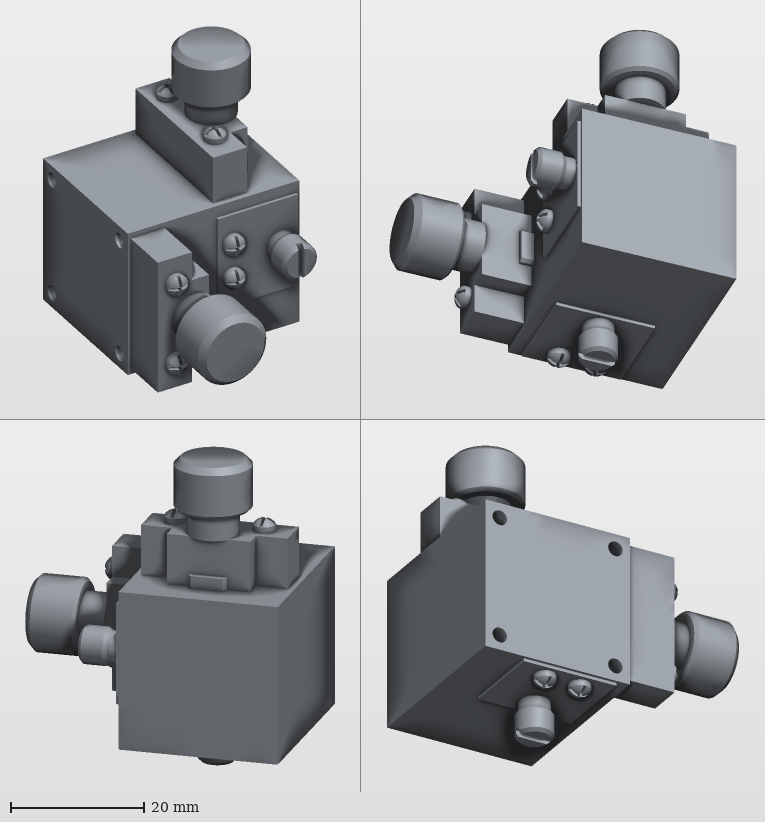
import cadquery as cq
import math


side = 25.0
block_depth = 8.0
carriage_depth = 7.0
dovetail_depth = 3.0
dovetail_root_width = 14.15
dovetail_flank_angle = 30
end_z = side / 2
clamp_face_x = side / 2

inset = 0.5
bracket_width = 23.0
bracket_height = 8.0
neck_width = dovetail_root_width - 2 * inset
bracket_front_y = -carriage_depth + inset
neck_back_y = dovetail_depth - inset
bracket_top_z = end_z + bracket_height

spindle_diameter = 8.0
spindle_length = 4.0
knob_diameter = 12.0
knob_length = 8.0
knob_lower_chamfer = 0.5
knob_upper_chamfer = 1.0

screw_diameter = 3.5
screw_rim_height = 1.0
screw_dome_height = 1.0
screw_slot_width = 0.5
bracket_screw_spacing = 13.95
bracket_screw_y = (bracket_front_y - inset) / 2

plate_width = 16.0
plate_thickness = 0.5
plate_centre_z = 2.5
plate_outer_x = clamp_face_x + plate_thickness
clamp_screw_spacing = 6.0
clamp_screw_y = -4.05

thumb_y = 4.45
thumb_neck_diameter = 5.0
thumb_neck_length = 1.6
thumb_cone_length = 0.65
thumb_head_diameter = 6.0
thumb_length = 6.15
thumb_chamfer = 0.5
thumb_slot_width = 1.0
thumb_slot_depth = 1.0

lug_width = 6.0
lug_height = 2.0
lug_chamfer = 0.5

hole_diameter = 2.5
hole_spacing = 20.0


def box(x_range, y_range, z_range):
    """Block between the given limits on each axis."""
    (x0, x1), (y0, y1), (z0, z1) = x_range, y_range, z_range
    return cq.Workplane("XY").box(x1 - x0, y1 - y0, z1 - z0, centered=False).translate((x0, y0, z0))


def facing_x(shape):
    """Turn a shape that points to +Z so that it points to +X."""
    return shape.rotate((0, 0, 0), (0, 1, 0), 90)


def turned(profile):
    """Turn a closed (radius, height) profile about the Z axis."""
    return profile.close().revolve(360, (0, 0, 0), (0, 1, 0))


def dovetail():
    """Dovetail rail along Z, narrow at y = 0 and wide at its crest."""
    root = dovetail_root_width / 2
    crest = root + dovetail_depth * math.tan(math.radians(dovetail_flank_angle))
    outline = [(-root, 0), (-crest, dovetail_depth), (crest, dovetail_depth), (root, 0)]
    return cq.Workplane("XY").polyline(outline).close().extrude(side).translate((0, 0, -end_z))


def drive_lug():
    """Lug standing on the block's end face behind the bracket neck, with chamfered back edges."""
    half = lug_width / 2
    back_y = dovetail_depth + lug_chamfer
    outline = [
        (-half, neck_back_y),
        (half, neck_back_y),
        (half, dovetail_depth),
        (half - lug_chamfer, back_y),
        (lug_chamfer - half, back_y),
        (-half, dovetail_depth),
    ]
    return cq.Workplane("XY").polyline(outline).close().extrude(lug_height).translate((0, 0, end_z))


def cross_screw():
    """Domed screw head standing on z = 0, with crossed slots as deep as the dome."""
    radius = screw_diameter / 2
    height = screw_rim_height + screw_dome_height
    sphere_radius = (radius**2 + screw_dome_height**2) / (2 * screw_dome_height)
    half_angle = math.asin(radius / sphere_radius) / 2
    arc_middle = (
        sphere_radius * math.sin(half_angle),
        height - sphere_radius * (1 - math.cos(half_angle)),
    )
    profile = (
        cq.Workplane("XZ")
        .lineTo(radius, 0)
        .lineTo(radius, screw_rim_height)
        .threePointArc(arc_middle, (0, height))
    )
    head = turned(profile)
    across = (-radius, radius)
    slot = (-screw_slot_width / 2, screw_slot_width / 2)
    dome = (screw_rim_height, height)
    return head.cut(box(across, slot, dome)).cut(box(slot, across, dome))


def knob():
    """Spindle and chamfered knob standing on z = 0."""
    radius = knob_diameter / 2
    top = spindle_length + knob_length
    profile = (
        cq.Workplane("XZ")
        .lineTo(spindle_diameter / 2, 0)
        .lineTo(spindle_diameter / 2, spindle_length)
        .lineTo(radius - knob_lower_chamfer, spindle_length)
        .lineTo(radius, spindle_length + knob_lower_chamfer)
        .lineTo(radius, top - knob_upper_chamfer)
        .lineTo(radius - knob_upper_chamfer, top)
        .lineTo(0, top)
    )
    return turned(profile)


def thumbscrew():
    """Necked thumbscrew standing on z = 0, slotted along X across its end."""
    neck_radius = thumb_neck_diameter / 2
    radius = thumb_head_diameter / 2
    profile = (
        cq.Workplane("XZ")
        .lineTo(neck_radius, 0)
        .lineTo(neck_radius, thumb_neck_length)
        .lineTo(radius, thumb_neck_length + thumb_cone_length)
        .lineTo(radius, thumb_length - thumb_chamfer)
        .lineTo(radius - thumb_chamfer, thumb_length)
        .lineTo(0, thumb_length)
    )
    slot = box(
        (-radius, radius),
        (-thumb_slot_width / 2, thumb_slot_width / 2),
        (thumb_length - thumb_slot_depth, thumb_length),
    )
    return turned(profile).cut(slot)


def knob_bracket():
    """T-shaped bracket on the carriage end, with its two screws and the knob."""
    z_range = (end_z, bracket_top_z)
    bracket = box((-bracket_width / 2, bracket_width / 2), (bracket_front_y, -inset), z_range)
    bracket = bracket.union(box((-neck_width / 2, neck_width / 2), (-inset, neck_back_y), z_range))
    for x in (-bracket_screw_spacing / 2, bracket_screw_spacing / 2):
        bracket = bracket.union(cross_screw().translate((x, bracket_screw_y, bracket_top_z)))
    return bracket.union(knob().translate((0, 0, bracket_top_z)))


def clamp():
    """Clamp plate on the +X face, with its two screws and the thumbscrew."""
    plate = box(
        (clamp_face_x, plate_outer_x),
        (-carriage_depth + inset, block_depth - inset),
        (plate_centre_z - plate_width / 2, plate_centre_z + plate_width / 2),
    )
    for offset in (-clamp_screw_spacing / 2, clamp_screw_spacing / 2):
        place = (plate_outer_x, clamp_screw_y, plate_centre_z + offset)
        plate = plate.union(facing_x(cross_screw()).translate(place))
    return plate.union(facing_x(thumbscrew()).translate((plate_outer_x, thumb_y, plate_centre_z)))


def make_block():
    """Fixed half of a stage: grooved block with its drive lug."""
    block = box((-side / 2, side / 2), (0, block_depth), (-end_z, end_z))
    return block.cut(dovetail()).union(drive_lug())


def make_carriage():
    """Sliding half of a stage: dovetailed plate with the knob bracket and the clamp."""
    carriage = box((-side / 2, side / 2), (-carriage_depth, 0), (-end_z, end_z))
    return carriage.union(dovetail()).union(knob_bracket()).union(clamp())


def to_front_stage(body):
    """Turn a body so that its knob points to +X, and stack it in front of the rear stage."""
    return facing_x(body).translate((0, -(block_depth + carriage_depth), 0))


def drill_mounting_holes(carriage):
    """Drill four holes through the plate, from its front face."""
    return (
        carriage.faces("<Y")
        .workplane(origin=(0, 0, 0))
        .rect(hole_spacing, hole_spacing, forConstruction=True)
        .vertices()
        .circle(hole_diameter / 2)
        .cutBlind(-carriage_depth)
    )


rear_block = make_block()
rear_carriage = make_carriage()
front_block = to_front_stage(make_block())
front_carriage = drill_mounting_holes(to_front_stage(make_carriage()))

result = cq.Compound.makeCompound(
    [rear_block.val(), rear_carriage.val(), front_block.val(), front_carriage.val()]
)